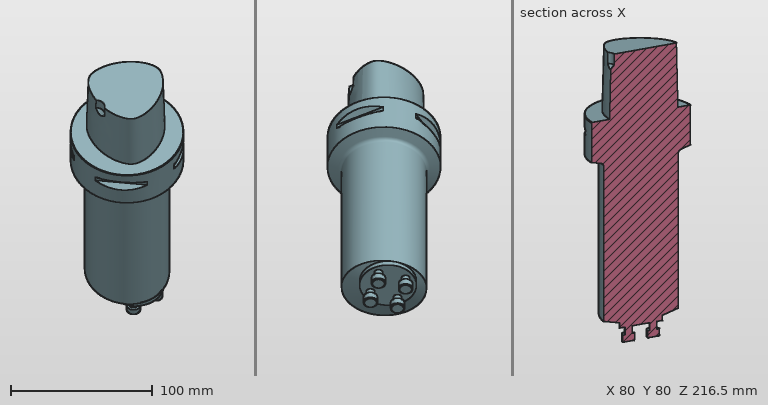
import cadquery as cq
import math

overall_length = 216.5
shank_length = 48.0
bottom_z = shank_length - overall_length

shank_width = 55.2
shank_lobe = 2.2
shank_taper = 1 / 20
flank_half_angle = 26
outline_steps = 8

notch_radius = 6.0
notch_axis_y = -27.7
notch_depth = 8.2
notch_tip_height = notch_radius

flange_diameter = 80.0
flange_height = 30.0
flange_chamfer = 0.5
relief_angle = math.radians(15)
relief_fillet = 3.0

groove_count = 4
groove_z = -12.0
groove_depth = 4.5
groove_floor_width = 3.5
groove_wall_angle = math.radians(30)

body_diameter = 60.0
pad_diameter = 40.0
pad_height = 4.0
pad_x = (body_diameter - pad_diameter) / 2
end_cone_angle = math.radians(15.5)
screw_spacing = 20.0
screw_neck_diameter = 6.0
screw_neck_length = 5.5
screw_head_diameter = 10.0
screw_head_height = 5.6
screw_head_chamfer = 0.6

flange_radius = flange_diameter / 2
body_radius = body_diameter / 2
pad_radius = pad_diameter / 2
pad_bottom_z = bottom_z + screw_head_height + screw_neck_length
pad_top_z = pad_bottom_z + pad_height


def shank_outline(z):
    """Constant-width trilobe at height z, made of three flanks and three lobes; one lobe points to +Y."""
    mean_radius = (shank_width - shank_taper * z) / 2

    def point(normal_angle):
        from_lobe = 3 * (normal_angle - math.pi / 2)
        reach = mean_radius + shank_lobe * math.cos(from_lobe)
        slide = -3 * shank_lobe * math.sin(from_lobe)
        x = reach * math.cos(normal_angle) - slide * math.sin(normal_angle)
        y = reach * math.sin(normal_angle) + slide * math.cos(normal_angle)
        return cq.Vector(x, y, z)

    side_pitch = 120
    edges = []
    for side in range(3):
        flank_middle = -90 + side_pitch * side
        lobe_start = flank_middle + flank_half_angle
        flank_start = flank_middle - flank_half_angle
        next_flank_start = flank_start + side_pitch
        for start, end in ((flank_start, lobe_start), (lobe_start, next_flank_start)):
            step = (end - start) / outline_steps
            angles = [math.radians(start + step * i) for i in range(outline_steps + 1)]
            edges.append(cq.Edge.makeSpline([point(angle) for angle in angles]))
    return cq.Wire.assembleEdges(edges)


def make_shank():
    shank = cq.Solid.makeLoft([shank_outline(0), shank_outline(shank_length)], True)
    notch_profile = (
        cq.Workplane("XZ", origin=(0, notch_axis_y, shank_length))
        .polyline([
            (0, 0),
            (notch_radius, 0),
            (notch_radius, -notch_depth),
            (0, -notch_depth - notch_tip_height),
        ])
        .close()
    )
    notch = notch_profile.revolve(360, (0, 0), (0, 1))
    return cq.Workplane(shank).cut(notch)


def make_flange_and_body():
    """Turned profile: chamfered flange, sloping underside and a fillet running into the body."""
    corner_z = -flange_height - (flange_radius - body_radius) * math.tan(relief_angle)
    tangent_length = relief_fillet * math.tan((math.pi / 2 - relief_angle) / 2)
    fillet_start = (
        body_radius + tangent_length * math.cos(relief_angle),
        corner_z + tangent_length * math.sin(relief_angle),
    )
    fillet_end = (body_radius, corner_z - tangent_length)
    return (
        cq.Workplane("XZ")
        .moveTo(0, 0)
        .lineTo(flange_radius - flange_chamfer, 0)
        .lineTo(flange_radius, -flange_chamfer)
        .lineTo(flange_radius, -flange_height)
        .lineTo(*fillet_start)
        .tangentArcPoint(fillet_end, relative=False)
        .lineTo(body_radius, pad_top_z)
        .lineTo(0, pad_top_z)
        .close()
        .revolve(360, (0, 0), (0, 1))
    )


def cut_grooves(solid):
    floor_distance = flange_radius - groove_depth
    half_floor = groove_floor_width / 2
    half_mouth = half_floor + groove_depth * math.tan(groove_wall_angle)
    groove = (
        cq.Workplane("XZ")
        .polyline([
            (floor_distance, groove_z - half_floor),
            (flange_radius, groove_z - half_mouth),
            (flange_radius, groove_z + half_mouth),
            (floor_distance, groove_z + half_floor),
        ])
        .close()
        .extrude(flange_radius, both=True)
    )
    pitch = 360 / groove_count
    for index in range(groove_count):
        solid = solid.cut(groove.rotate((0, 0, 0), (0, 0, 1), pitch * (index + 0.5)))
    return solid


def cut_end_cone(solid):
    """Bevel the body's lower end with a cone centred on the pad and starting at the pad's rim."""
    cone_reach = 2 * body_radius
    cone_rise = (cone_reach - pad_radius) * math.tan(end_cone_angle)
    bevel = (
        cq.Workplane("XZ", origin=(pad_x, 0, pad_top_z))
        .polyline([(pad_radius, 0), (cone_reach, 0), (cone_reach, cone_rise)])
        .close()
        .revolve(360, (0, 0), (0, 1))
    )
    return solid.cut(bevel)


def add_pad_and_screws(solid):
    pad = cq.Workplane(origin=(pad_x, 0, pad_bottom_z)).circle(pad_radius).extrude(pad_height)
    solid = solid.union(pad)
    necks = (
        cq.Workplane(origin=(pad_x, 0, pad_bottom_z))
        .rarray(screw_spacing, screw_spacing, 2, 2)
        .circle(screw_neck_diameter / 2)
        .extrude(-screw_neck_length)
    )
    heads = (
        cq.Workplane(origin=(pad_x, 0, bottom_z))
        .rarray(screw_spacing, screw_spacing, 2, 2)
        .circle(screw_head_diameter / 2)
        .extrude(screw_head_height)
        .faces("<Z")
        .chamfer(screw_head_chamfer)
    )
    return solid.union(necks).union(heads)


holder = cut_grooves(make_flange_and_body())
holder = cut_end_cone(holder)
holder = add_pad_and_screws(holder)
result = holder.union(make_shank())